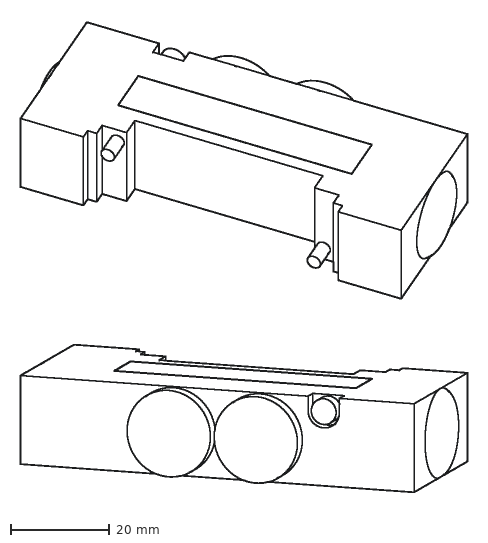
import cadquery as cq
import math

overall_length = 88.0
button_projection = 1.4
body_length = overall_length - 2 * button_projection
body_depth = 33.0
body_height = 18.5
half_length = body_length / 2
half_height = body_height / 2

outer_half_width = 28.5
outer_depth = 2.1
middle_half_width = 26.5
middle_depth = 4.8
inner_half_width = 21.0
inner_depth = 9.0

pin_diameter = 3.0
pin_x = 23.1
pin_inset = 3.0
pin_z = half_height - pin_inset

disc_diameter = 18.0
disc_spacing = 18.8
disc_height = 3.0
stud_diameter = 5.4
slot_width = 6.8
slot_depth = 3.0

button_diameter = 18.5
button_flat_diameter = 14.0
button_y = 17.0

label_length = 52.3
label_width = 10.0
label_y = 17.0
label_depth = 0.1


def y_cylinder(diameter, x, z, y_start, y_end):
    """Cylinder along Y between two Y positions."""
    start = cq.Vector(x, y_start, z)
    solid = cq.Solid.makeCylinder(diameter / 2, y_end - y_start, start, cq.Vector(0, 1, 0))
    return cq.Workplane(obj=solid)


def box_cut(length, y_start, y_end, z_start, z_end, x=0.0):
    """Box centred at x, bounded by Y and Z limits."""
    box = cq.Workplane().box(length, y_end - y_start, z_end - z_start, centered=(True, False, False))
    return box.translate((x, y_start, z_start))


def make_body():
    body = box_cut(body_length, 0, body_depth, -half_height, half_height)
    steps = (
        (outer_half_width, outer_depth),
        (middle_half_width, middle_depth),
        (inner_half_width, inner_depth),
    )
    for half_width, depth in steps:
        body = body.cut(box_cut(2 * half_width, 0, depth, -half_height, half_height))
    return body


def make_stud_slot():
    """U-shaped slot, open at the top and back faces, round around the stud."""
    slot_floor = body_depth - slot_depth
    bottom = y_cylinder(slot_width, -pin_x, pin_z, slot_floor, body_depth)
    return bottom.union(box_cut(slot_width, slot_floor, body_depth, pin_z, half_height, -pin_x))


def make_end_button():
    """Button on the +X end: revolved profile with a round edge tangent to its flat face."""
    radius = button_diameter / 2
    flat_radius = button_flat_diameter / 2
    edge_width = radius - flat_radius
    edge_radius = (edge_width**2 + button_projection**2) / (2 * button_projection)
    half_angle = math.asin(edge_width / edge_radius) / 2
    arc_x = half_length + button_projection - edge_radius * (1 - math.cos(half_angle))
    arc_y = flat_radius + edge_radius * math.sin(half_angle)
    profile = (
        cq.Workplane()
        .moveTo(half_length, 0)
        .lineTo(half_length, radius)
        .threePointArc((arc_x, arc_y), (half_length + button_projection, flat_radius))
        .lineTo(half_length + button_projection, 0)
        .close()
    )
    return profile.revolve(360, (0, 0, 0), (1, 0, 0)).translate((0, button_y, 0))


result = make_body().cut(make_stud_slot())
result = result.union(y_cylinder(stud_diameter, -pin_x, pin_z, body_depth - slot_depth, body_depth))

label_start = label_y - label_width / 2
label_end = label_y + label_width / 2
result = result.cut(box_cut(label_length, label_start, label_end, half_height - label_depth, half_height))

for side in (-1, 1):
    result = result.union(y_cylinder(pin_diameter, side * pin_x, -side * pin_z, 0, middle_depth))
    disc_x = side * disc_spacing / 2
    result = result.union(y_cylinder(disc_diameter, disc_x, 0, body_depth, body_depth + disc_height))

end_button = make_end_button()
result = result.union(end_button).union(end_button.mirror("YZ"))